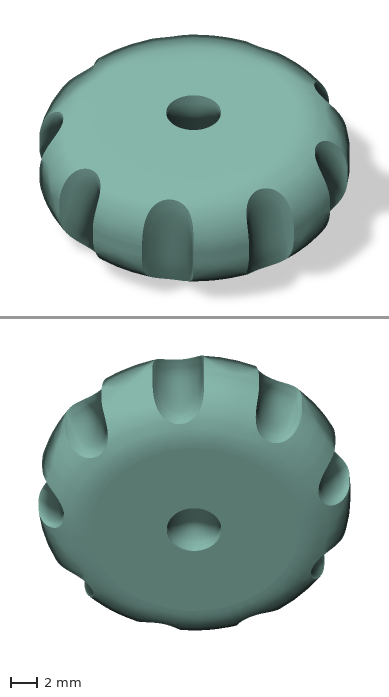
import cadquery as cq

knob_diameter = 24.0
knob_height = 9.0
rim_round_radius = 4.0

bore_diameter = 4.2

scallop_count = 9
scallop_diameter = 4.0
scallop_circle_radius = knob_diameter / 2


def knob_body():
    """Disc with both rims rounded, leaving a narrow straight band at mid-height."""
    disc = cq.Workplane("XY").circle(knob_diameter / 2).extrude(knob_height)
    return disc.faces("|Z").edges().fillet(rim_round_radius)


def bore():
    """Cylinder that opens the bore through the full height."""
    return cq.Workplane("XY").circle(bore_diameter / 2).extrude(knob_height)


def scallops():
    """Ring of full-height cylinders, the first one on the +X axis."""
    return (
        cq.Workplane("XY")
        .polarArray(scallop_circle_radius, 0, 360, scallop_count)
        .circle(scallop_diameter / 2)
        .extrude(knob_height)
    )


result = knob_body().cut(bore()).cut(scallops())